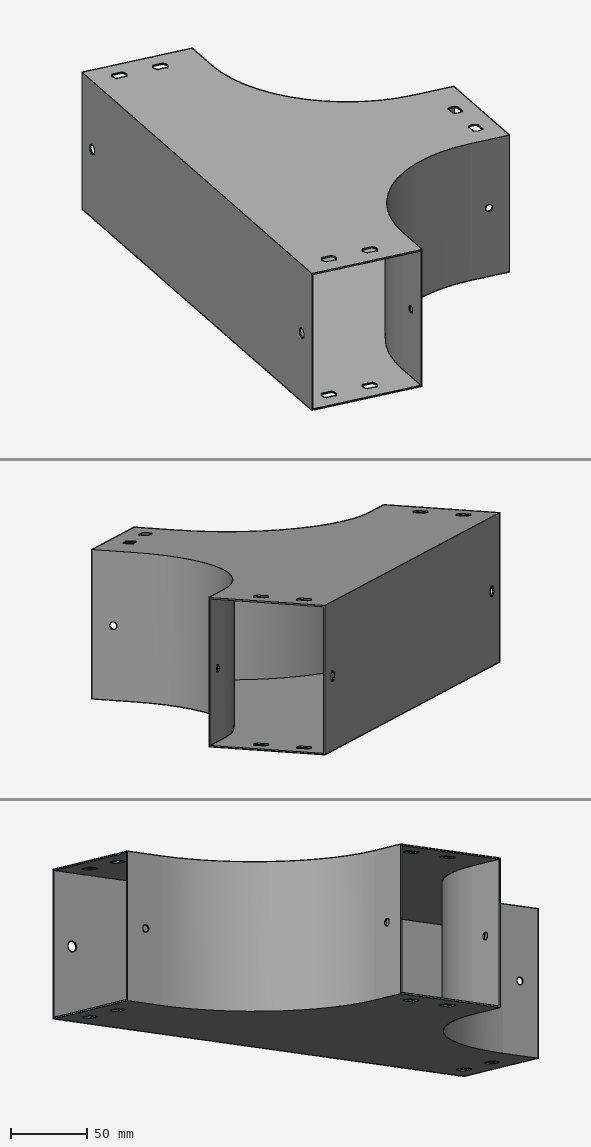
import cadquery as cq

run_length = 338.0
overall_depth = 209.0
run_width = 81.0
branch_width = 82.0
duct_height = 100.0
wall = 1.0

bend_radius = 99.0

end_distance = 15.0
slot_length = 10.0
slot_width = 7.0
slot_spacing = 30.0
slot_edge_distance = 20.0
run_hole_diameter = 7.0
inner_hole_diameter = 5.0

half_run = run_length / 2
half_branch = branch_width / 2
mid_height = duct_height / 2
bend_end_x = half_branch + bend_radius
bend_end_y = run_width + bend_radius


def tee_outline(plan, inset):
    """Tee outline with its side walls moved inward by inset; the open ends stay in place."""
    branch_x = half_branch - inset
    run_y = run_width - inset
    radius = bend_radius + inset
    bend_middle = radius * 0.5 ** 0.5
    middle_x = bend_end_x - bend_middle
    middle_y = bend_end_y - bend_middle
    return (
        plan.moveTo(-half_run, inset)
        .lineTo(half_run, inset)
        .lineTo(half_run, run_y)
        .lineTo(bend_end_x, run_y)
        .threePointArc((middle_x, middle_y), (branch_x, bend_end_y))
        .lineTo(branch_x, overall_depth)
        .lineTo(-branch_x, overall_depth)
        .lineTo(-branch_x, bend_end_y)
        .threePointArc((-middle_x, middle_y), (-bend_end_x, run_y))
        .lineTo(-half_run, run_y)
        .close()
    )


def make_duct():
    """Thin-walled tee, closed above and below and open at its three ends."""
    outside = tee_outline(cq.Workplane("XY"), 0).extrude(duct_height)
    cavity_plane = cq.Workplane("XY").workplane(offset=wall)
    cavity = tee_outline(cavity_plane, wall).extrude(duct_height - 2 * wall)
    return outside.cut(cavity)


def slot_pair(points, size_x, size_y):
    """Circles trimmed by two parallel flats, cut through the top and bottom sheets."""
    flats = cq.Workplane("XY").pushPoints(points).rect(size_x, size_y).extrude(duct_height)
    rounds = cq.Workplane("XY").pushPoints(points).circle(slot_length / 2).extrude(duct_height)
    return flats.intersect(rounds)


def run_wall_hole(x, y, diameter):
    """Round hole along Y through the run wall whose middle plane is at y."""
    return (
        cq.Workplane("XZ", origin=(x, y, mid_height))
        .circle(diameter / 2)
        .extrude(wall, both=True)
    )


def branch_holes():
    """One round hole along X through both side walls of the branch."""
    return (
        cq.Workplane("YZ", origin=(0, overall_depth - end_distance, mid_height))
        .circle(inner_hole_diameter / 2)
        .extrude(branch_width, both=True)
    )


result = make_duct()

slot_ys = (slot_edge_distance, slot_edge_distance + slot_spacing)
for side in (-1, 1):
    hole_x = side * (half_run - end_distance)
    result = result.cut(slot_pair([(hole_x, y) for y in slot_ys], slot_width, slot_length))
    result = result.cut(run_wall_hole(hole_x, wall / 2, run_hole_diameter))
    result = result.cut(run_wall_hole(hole_x, run_width - wall / 2, inner_hole_diameter))

slot_xs = (half_branch - slot_edge_distance, half_branch - slot_edge_distance - slot_spacing)
branch_slot_y = overall_depth - end_distance
result = result.cut(slot_pair([(x, branch_slot_y) for x in slot_xs], slot_length, slot_width))
result = result.cut(branch_holes())